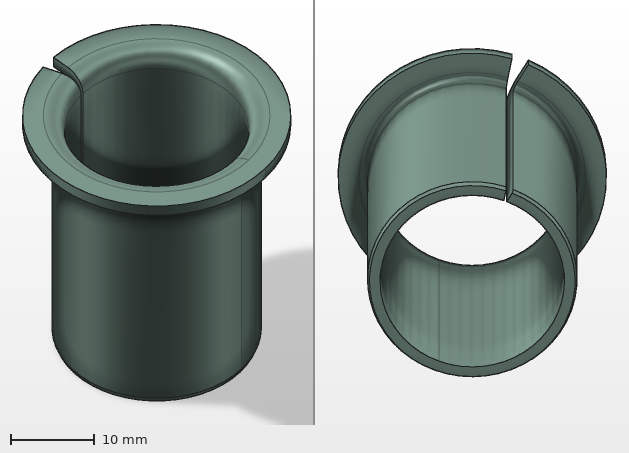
import cadquery as cq
import math

height = 35.0
flange_radius = 16.0
outer_radius = 12.5
wall = 1.5
outer_bend = 1.0
chamfer_height = 0.65
chamfer_angle = 20.0
gap_half_angle = 10.0
gap_rim_half_width = 1.05

inner_radius = outer_radius - wall
inner_bend = outer_bend + wall
bend_radius = outer_radius + outer_bend
bend_z = height - inner_bend
chamfer_width = chamfer_height * math.tan(math.radians(chamfer_angle))
diagonal = math.sqrt(0.5)


def flanged_sleeve():
    """Revolve the wall section, with both bends sharing one centre."""
    inner_mid = (bend_radius - inner_bend * diagonal, bend_z + inner_bend * diagonal)
    outer_mid = (bend_radius - outer_bend * diagonal, bend_z + outer_bend * diagonal)
    return (
        cq.Workplane("XZ")
        .moveTo(inner_radius, 0)
        .lineTo(inner_radius, bend_z)
        .threePointArc(inner_mid, (bend_radius, height))
        .lineTo(flange_radius, height)
        .lineTo(flange_radius, height - wall)
        .lineTo(bend_radius, height - wall)
        .threePointArc(outer_mid, (outer_radius, bend_z))
        .lineTo(outer_radius, chamfer_height)
        .lineTo(outer_radius - chamfer_width, 0)
        .close()
        .revolve(360, (0, 0, 0), (0, 1, 0))
    )


def gap_wedge():
    """Full-height wedge opening toward -X, with its tip inside the bore."""
    slope = math.tan(math.radians(gap_half_angle))
    rim_x = -math.sqrt(flange_radius**2 - gap_rim_half_width**2)
    tip_x = rim_x + gap_rim_half_width / slope
    wedge_x = -2 * flange_radius
    wedge_half_width = (tip_x - wedge_x) * slope
    return (
        cq.Workplane("XY")
        .moveTo(tip_x, 0)
        .lineTo(wedge_x, wedge_half_width)
        .lineTo(wedge_x, -wedge_half_width)
        .close()
        .extrude(height)
    )


result = flanged_sleeve().cut(gap_wedge())